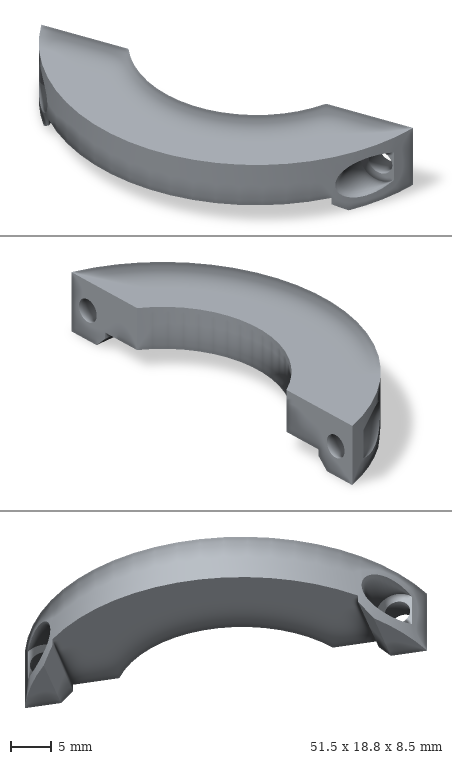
import cadquery as cq
import math

length = 51.5
depth = 18.8
inner_radius = 15.95
half_length = length / 2
outer_radius = (half_length**2 + depth**2) / (2 * depth)
center_y = outer_radius - depth
inner_half_length = math.sqrt(inner_radius**2 - center_y**2)

height = 8.5
relief_height = 2.45
relief_half_width = 19.6
lug_chamfer = 1.55

hole_x = 22.7
hole_z = height / 2
hole_diameter = 3.25
counterbore_diameter = 5.55
screw_seat_thickness = 3.0


def ring_segment():
    return (
        cq.Workplane("XY")
        .moveTo(-half_length, 0)
        .threePointArc((0, -depth), (half_length, 0))
        .lineTo(inner_half_length, 0)
        .threePointArc((0, center_y - inner_radius), (-inner_half_length, 0))
        .close()
        .extrude(height)
    )


def underside_relief():
    """Channel along Y whose mouth is widened by the lug chamfers."""
    mouth_half_width = relief_half_width + lug_chamfer
    return (
        cq.Workplane("XZ")
        .polyline([
            (-mouth_half_width, 0),
            (-relief_half_width, lug_chamfer),
            (-relief_half_width, relief_height),
            (relief_half_width, relief_height),
            (relief_half_width, lug_chamfer),
            (mouth_half_width, 0),
        ])
        .close()
        .extrude(depth)
    )


def screw_hole(x):
    """Through hole with a counterbore entering from the curved outer side."""
    axis = cq.Workplane("XZ").center(x, hole_z)
    hole = axis.circle(hole_diameter / 2).extrude(depth)
    counterbore = (
        axis.workplane(offset=screw_seat_thickness)
        .circle(counterbore_diameter / 2)
        .extrude(depth - screw_seat_thickness)
    )
    return hole.union(counterbore)


result = ring_segment().cut(underside_relief())
for x in (-hole_x, hole_x):
    result = result.cut(screw_hole(x))